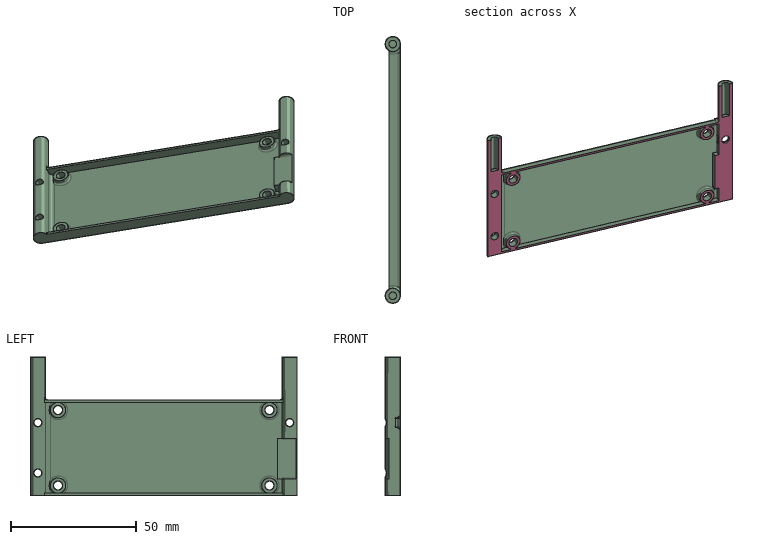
import cadquery as cq
import math

post_diameter = 6.0
post_radius = post_diameter / 2
post_height = 55.0
post_spacing = 100.0
post_y = post_spacing / 2
bore_diameter = 3.0
bore_depth = 15.0

plate_height = 38.0
plate_front_x = -1.5
plate_back_x = post_radius
rim_thickness = 1.0
cavity_end_y = post_y - post_radius
floor_front_x = 2.0
back_edge_radius = 1.0
back_edge_length = 93.0
post_fillet_radius = 1.0

floor_blend_radius = 2.0

boss_spacing_y = 84.0
boss_spacing_z = 30.0
boss_rim_overlap = 0.05
boss_radius = (plate_height - boss_spacing_z) / 2 - rim_thickness + boss_rim_overlap
boss_height = 2.0
boss_fillet_radius = 0.75
mount_hole_diameter = 3.5

cross_hole_diameter = 3.1
upper_cross_z = 29.0
lower_cross_z = 9.0

nut_across_flats = 5.9
nut_circumradius = nut_across_flats / math.sqrt(3)
nut_floor_x = 1.0

pad_inner_y = -45.25
pad_bottom_z = 6.7
pad_top_z = 22.7
pad_shoulder_radius = 0.3

arc_inset = 1 - math.sqrt(0.5)

plate_mid_z = plate_height / 2
mount_points = [
    (side * boss_spacing_y / 2, plate_mid_z + level * boss_spacing_z / 2)
    for side in (-1, 1)
    for level in (-1, 1)
]
post_sides = (-post_y, post_y)
cross_points = [
    (-post_y, upper_cross_z),
    (post_y, upper_cross_z),
    (post_y, lower_cross_z),
]


def box(x_range, y_range, z_range):
    """Box spanning the given (low, high) ranges."""
    spans = (x_range, y_range, z_range)
    size = [high - low for low, high in spans]
    return cq.Workplane("XY").box(*size, centered=False).translate([low for low, high in spans])


def cylinder_x(radius, y, z, x_start, x_end):
    """Cylinder along X."""
    return cq.Workplane("YZ", origin=(x_start, y, z)).circle(radius).extrude(x_end - x_start)


def post(y):
    """Round pillar at the given Y."""
    return cq.Workplane("XY").center(0, y).circle(post_radius).extrude(post_height)


def post_bore(y):
    """Blind bore in the top of a post."""
    top = cq.Workplane("XY", origin=(0, y, post_height))
    return top.circle(bore_diameter / 2).extrude(-bore_depth)


def plate():
    """Tray whose flat end walls meet the posts tangentially."""
    body = box((plate_front_x, plate_back_x), (-post_y, post_y), (0, plate_height))
    cavity_z = (rim_thickness, plate_height - rim_thickness)
    beside_posts = box((plate_front_x, 0), (-post_y, post_y), cavity_z)
    between_end_walls = box((0, floor_front_x), (-cavity_end_y, cavity_end_y), cavity_z)
    return body.cut(beside_posts).cut(between_end_walls)


def rounded_edge_waste():
    """Material outside the rounded top back edge, between the post collars."""
    r = back_edge_radius
    offset = r * arc_inset
    return (
        cq.Workplane("XZ", origin=(0, back_edge_length / 2, 0))
        .moveTo(plate_back_x - r, plate_height)
        .threePointArc(
            (plate_back_x - offset, plate_height - offset),
            (plate_back_x, plate_height - r),
        )
        .lineTo(plate_back_x, plate_height)
        .close()
        .extrude(back_edge_length)
    )


def post_collar(y):
    """Concave fillet from the plate's top face up to a post."""
    outer = post_radius + post_fillet_radius
    arc_offset = post_fillet_radius * arc_inset
    ring = (
        cq.Workplane("XZ")
        .moveTo(0, plate_height)
        .lineTo(outer, plate_height)
        .threePointArc(
            (post_radius + arc_offset, plate_height + arc_offset),
            (post_radius, plate_height + post_fillet_radius),
        )
        .lineTo(0, plate_height + post_fillet_radius)
        .close()
        .revolve(360, (0, 0, 0), (0, 1, 0))
        .translate((0, y, 0))
    )
    over_plate = box(
        (plate_front_x, plate_back_x),
        (-post_y, post_y),
        (plate_height, plate_height + post_fillet_radius),
    )
    return ring.intersect(over_plate)


def floor_blend():
    """Concave strip in the corner between the tray floor and the +Y post."""
    r = floor_blend_radius
    offset = r * arc_inset
    return (
        cq.Workplane("XY")
        .moveTo(floor_front_x - r, cavity_end_y)
        .threePointArc((floor_front_x - offset, cavity_end_y - offset), (floor_front_x, cavity_end_y - r))
        .lineTo(floor_front_x, post_y)
        .lineTo(floor_front_x - r, post_y)
        .close()
        .extrude(plate_height)
    )


def boss(y, z):
    """Round boss with a concave foot, kept inside the tray."""
    r = boss_fillet_radius
    offset = r * arc_inset
    profile = (
        cq.Workplane("XY")
        .moveTo(floor_front_x, 0)
        .lineTo(floor_front_x, boss_radius + r)
        .threePointArc(
            (floor_front_x - offset, boss_radius + offset),
            (floor_front_x - r, boss_radius),
        )
        .lineTo(floor_front_x - boss_height, boss_radius)
        .lineTo(floor_front_x - boss_height, 0)
        .close()
    )
    solid = profile.revolve(360, (0, 0, 0), (1, 0, 0)).translate((0, y, z))
    tray = box((plate_front_x, floor_front_x), (-post_y, post_y), (0, plate_height))
    return solid.intersect(tray)


def nut_pocket(y, z):
    """Hexagonal pocket with corners up and down, open at the back."""
    return (
        cq.Workplane("YZ", origin=(nut_floor_x, y, z))
        .polygon(6, 2 * nut_circumradius)
        .extrude(post_diameter)
        .rotate((0, y, z), (1, y, z), 90)
    )


def pad():
    """Block joining the -Y post to the tray floor, flush with the rim."""
    return box((plate_front_x, floor_front_x), (-post_y, pad_inner_y), (pad_bottom_z, pad_top_z))


def pad_clearance():
    """Post material in front of the pad, with rounded shoulder corners."""
    block = box(
        (-post_radius, plate_front_x),
        (-post_y - post_radius, pad_inner_y),
        (pad_bottom_z, pad_top_z),
    )
    return block.edges("|Y and >X").fillet(pad_shoulder_radius)


def build():
    """Join the solid features, then cut the bores, holes and nut pocket."""
    body = plate()
    for y, z in mount_points:
        body = body.union(boss(y, z))
    for y in post_sides:
        body = body.union(post(y)).union(post_collar(y))
    body = body.cut(rounded_edge_waste()).union(floor_blend())
    body = body.union(pad()).cut(pad_clearance())

    for y in post_sides:
        body = body.cut(post_bore(y))
    for y, z in mount_points:
        body = body.cut(cylinder_x(mount_hole_diameter / 2, y, z, -post_radius, post_radius))
    for y, z in cross_points:
        body = body.cut(cylinder_x(cross_hole_diameter / 2, y, z, -post_radius, post_radius))
    body = body.cut(nut_pocket(-post_y, upper_cross_z))
    return body


result = build()